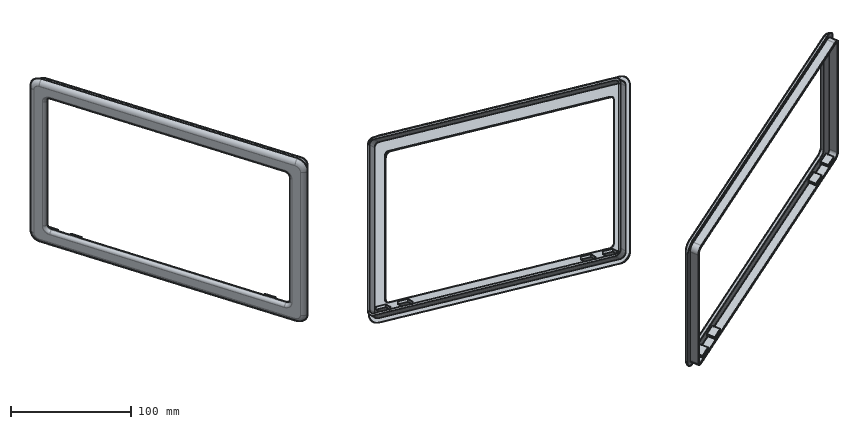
import cadquery as cq

width = 260.0
height = 167.5
depth = 11.5
front_y = -depth / 2
back_y = front_y + depth

bezel_depth = 4.0
bezel_corner = 10.0
bezel_back_y = front_y + bezel_depth
rim_width = 16.0
opening_corner = 4.0
opening_round = 3.0
outer_round_width = 5.0
outer_round = (outer_round_width**2 + bezel_depth**2) / (2 * bezel_depth)
round_overhang = outer_round - outer_round_width

skirt_inset = 4.0
skirt_wall = 2.0
skirt_corner = bezel_corner - skirt_inset

clip_width = 10.0
clip_thickness = 2.5
clip_length = back_y - bezel_back_y
clip_top_z = -72.6
clip_pair_x = 102.0
clip_pair_spacing = 22.0


def rounded_plate(inset, corner, start_y, end_y):
    """Plate between two Y levels, set in from the overall outline, with rounded corners."""
    return (
        cq.Workplane("XZ", origin=(0, start_y, 0))
        .rect(width - 2 * inset, height - 2 * inset)
        .extrude(start_y - end_y)
        .edges("|Y")
        .fillet(corner)
    )


def make_bezel():
    """Ring whose outer edge is a truncated quarter round and whose opening has a full one."""
    domed = (
        rounded_plate(-round_overhang, bezel_corner + round_overhang, front_y, front_y + 2 * outer_round)
        .faces("<Y")
        .edges()
        .fillet(outer_round)
    )
    slab = cq.Workplane("XY").box(2 * width, bezel_depth, 2 * height)
    slab = slab.translate((0, front_y + bezel_depth / 2, 0))
    opening = rounded_plate(rim_width, opening_corner, front_y, bezel_back_y)
    reach_x = width / 2 - rim_width / 2
    reach_z = height / 2 - rim_width / 2
    front_rim = cq.selectors.BoxSelector(
        (-reach_x, front_y - bezel_depth, -reach_z),
        (reach_x, front_y + bezel_depth, reach_z),
    )
    ring = domed.intersect(slab).cut(opening)
    return ring.faces("<Y").edges(front_rim).fillet(opening_round)


def make_skirt():
    outside = rounded_plate(skirt_inset, skirt_corner, bezel_back_y, back_y)
    inside = rounded_plate(skirt_inset + skirt_wall, skirt_corner - skirt_wall, bezel_back_y, back_y)
    return outside.cut(inside)


def make_frame():
    return make_bezel().union(make_skirt()).solids()


def make_clip(center_x):
    clip = cq.Workplane("XY").box(clip_width, clip_length, clip_thickness)
    return clip.translate((center_x, bezel_back_y + clip_length / 2, clip_top_z - clip_thickness / 2))


frame = make_frame()

clips = []
for side in (-1, 1):
    for step in (-1, 1):
        clips.append(make_clip(side * clip_pair_x + step * clip_pair_spacing / 2))

result = cq.Compound.makeCompound([frame.val(), *[clip.val() for clip in clips]])